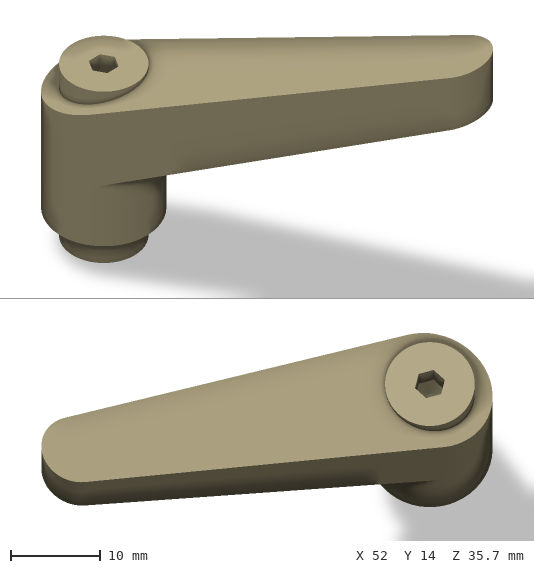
import cadquery as cq
import math

hub_radius = 7.0
overall_length = 52.0
tip_radius = 4.0
tip_end_x = overall_length - hub_radius
tip_center_x = tip_end_x - tip_radius

overall_height = 35.69
hub_bottom_z = 4.0
hub_top_low_z = 20.5
lever_tip_thickness = 7.2
lever_bottom_angle = 20.0

insert_radius = 5.0
screw_top_z = 24.5

socket_across_flats = 3.0
socket_across_corners = socket_across_flats / math.cos(math.radians(30))
socket_depth = 3.0
drill_point_angle = 118.0


def lever_outline():
    """Plan outline: two arcs joined by their common tangent lines."""
    sine = (hub_radius - tip_radius) / tip_center_x
    cosine = math.sqrt(1 - sine**2)
    hub_x, hub_y = hub_radius * sine, hub_radius * cosine
    tip_x, tip_y = tip_center_x + tip_radius * sine, tip_radius * cosine
    return (
        cq.Workplane("XY")
        .moveTo(hub_x, -hub_y)
        .lineTo(tip_x, -tip_y)
        .threePointArc((tip_end_x, 0), (tip_x, tip_y))
        .lineTo(hub_x, hub_y)
        .threePointArc((-hub_radius, 0), (hub_x, -hub_y))
        .close()
    )


def side_band(low_end_z, tip_end_z):
    """Lever side profile between its sloped underside and top, wider than the hub."""
    return (
        cq.Workplane("XZ")
        .polyline([
            (-hub_radius, low_end_z),
            (tip_end_x, tip_end_z),
            (tip_end_x, overall_height),
            (-hub_radius, hub_top_low_z),
        ])
        .close()
        .extrude(2 * hub_radius, both=True)
    )


def make_lever():
    """Tapered lever rising from the hub, thinning toward the tip."""
    tip_bottom_z = overall_height - lever_tip_thickness
    drop = overall_length * math.tan(math.radians(lever_bottom_angle))
    band = side_band(tip_bottom_z - drop, tip_bottom_z)
    return lever_outline().extrude(overall_height).intersect(band)


def make_hub():
    """Round hub cut off by the same sloped plane as the lever top."""
    column = (
        cq.Workplane("XY", origin=(0, 0, hub_bottom_z))
        .circle(hub_radius)
        .extrude(overall_height - hub_bottom_z)
    )
    return column.intersect(side_band(hub_bottom_z, hub_bottom_z))


def make_insert():
    """Round insert and screw head, showing below and above the hub."""
    return cq.Workplane("XY").circle(insert_radius).extrude(screw_top_z)


def make_socket():
    """Hexagonal cavity with a drill-point cone under it."""
    floor_z = screw_top_z - socket_depth
    cone_radius = socket_across_corners / 2
    cone_depth = cone_radius / math.tan(math.radians(drill_point_angle / 2))
    hexagon = (
        cq.Workplane("XY", origin=(0, 0, floor_z - cone_depth))
        .polygon(6, socket_across_corners)
        .extrude(socket_depth + cone_depth)
    )
    drill_envelope = (
        cq.Workplane("XZ")
        .moveTo(0, floor_z - cone_depth)
        .lineTo(cone_radius, floor_z)
        .lineTo(cone_radius, screw_top_z)
        .lineTo(0, screw_top_z)
        .close()
        .revolve(360, (0, 0), (0, 1))
    )
    return hexagon.intersect(drill_envelope)


result = make_hub().union(make_lever()).union(make_insert()).cut(make_socket())